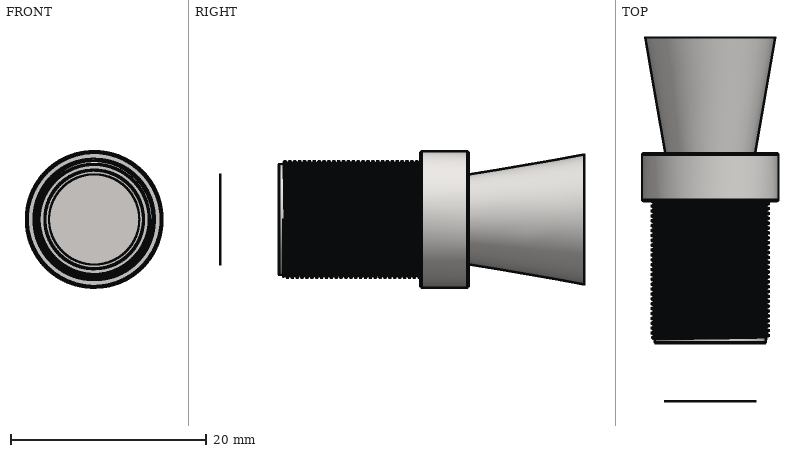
import cadquery as cq

overall_length = 37.28
cone_length = 11.8
flange_length = 5.0
barrel_end = 5.95
flange_front = overall_length - cone_length
flange_rear = flange_front - flange_length

disc_radius = 4.62
disc_thickness = 0.05

cone_rear_radius = disc_radius
cone_front_radius = 6.67

flange_radius = 7.0
flange_chamfer = 0.2
relief_radius = 6.23
relief_depth = 0.22

barrel_radius = 5.7
barrel_chamfer = 0.1
recess_radius = 5.1
recess_depth = 0.3
recess_taper = 0.1

thread_radius = 6.0
thread_pitch = 0.5
thread_start = 6.25
lead_in_position = 6.4
lead_in_radius = 5.8
tooth_root_width = 0.9 * thread_pitch
tooth_crest_width = 0.07
tooth_embed = 0.07
turns_per_section = 5
section_count = 6


def revolve_profile(points):
    """Solid of revolution about Y from a closed outline of (radius, Y) points."""
    return cq.Workplane("XY").polyline(points).close().revolve(360, (0, 0, 0), (0, 1, 0))


def frustum(rear, rear_radius, front, front_radius):
    """Cone frustum or cylinder on the Y axis between two Y positions."""
    return revolve_profile([(0, rear), (rear_radius, rear), (front_radius, front), (0, front)])


def cylinder(radius, rear, front):
    """Cylinder on the Y axis between two Y positions."""
    return frustum(rear, radius, front, radius)


def make_lead_in():
    """Cutter that ends the first turn at a plane and bevels its crest."""
    outer_radius = thread_radius + thread_pitch
    return revolve_profile([
        (0, 0),
        (outer_radius, 0),
        (outer_radius, lead_in_position + outer_radius - lead_in_radius),
        (lead_in_radius, lead_in_position),
        (0, lead_in_position),
    ])


def make_thread_sections():
    """Right-handed helical tooth, as sections that join end to end along the barrel."""
    section_length = turns_per_section * thread_pitch
    root = barrel_radius - tooth_embed
    helix = cq.Wire.makeHelix(thread_pitch, section_length, barrel_radius)
    tooth = cq.Workplane("XZ").polyline([
        (root, -tooth_root_width / 2),
        (thread_radius, -tooth_crest_width / 2),
        (thread_radius, tooth_crest_width / 2),
        (root, tooth_root_width / 2),
    ]).close()
    section = tooth.sweep(cq.Workplane(helix), isFrenet=True)
    section = section.rotate((0, 0, 0), (1, 0, 0), -90).val()
    sections = [
        section.translate(cq.Vector(0, thread_start + index * section_length, 0))
        for index in range(section_count)
    ]
    sections[0] = sections[0].cut(make_lead_in().val())
    return sections


def make_cone():
    """Solid cone that widens from the flange to the front end."""
    return frustum(flange_front, cone_rear_radius, overall_length, cone_front_radius)


def make_flange():
    """Chamfered flange with a conical relief around the thread."""
    flange = cylinder(flange_radius, flange_rear, flange_front).edges().chamfer(flange_chamfer)
    relief = frustum(flange_rear, relief_radius, flange_rear + relief_depth, thread_radius)
    return flange.cut(relief)


def make_lens():
    """Light cone, flange and threaded barrel as one solid."""
    barrel = cylinder(barrel_radius, barrel_end, flange_front).faces("<Y").chamfer(barrel_chamfer)
    recess_floor = barrel_end + recess_depth
    recess = frustum(barrel_end, recess_radius, recess_floor, recess_radius - recess_taper)
    threaded_barrel = cq.Workplane(barrel.val().fuse(*make_thread_sections()))
    return threaded_barrel.union(make_flange()).union(make_cone()).cut(recess)


def make_image_disc():
    """Thin disc at the rear, clear of the barrel."""
    return cylinder(disc_radius, 0, disc_thickness)


lens = make_lens()
image_disc = make_image_disc()

result = cq.Compound.makeCompound([lens.val(), image_disc.val()])